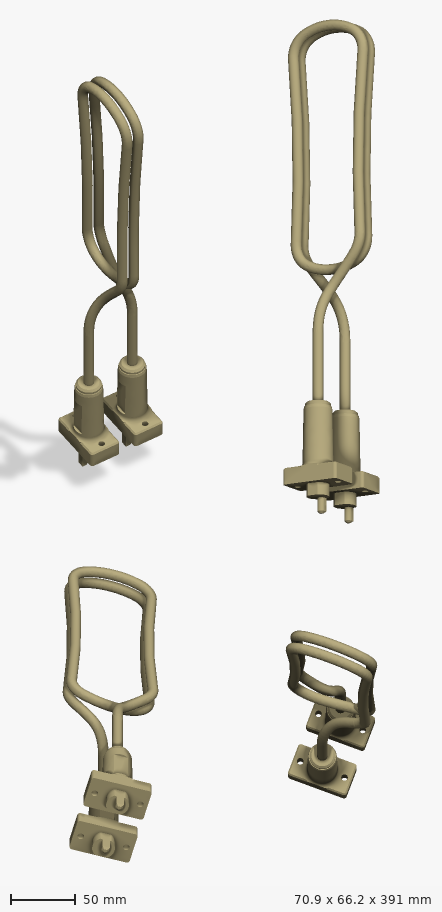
import cadquery as cq
import math

plug_spacing = 40.0
plug_y = plug_spacing / 2

boss_bottom = 12.0
flange_bottom = 22.0
flange_top = 35.2
barrel_top = 81.0
plug_top = 87.0

pin_width = 6.0
pin_tip_chamfer = 1.5
boss_diameter = 17.5
boss_flat_width = 15.3

flange_length = 48.0
flange_width = 26.2
flange_corner_radius = 2.5
flange_edge_chamfer = 1.0
screw_hole_diameter = 5.0
screw_hole_spacing = 36.5

barrel_base_diameter = 24.0
barrel_top_diameter = 22.3
collar_diameter = 20.0
barrel_foot_fillet = 3.0
collar_edge_chamfer = 1.5
lip_diameter = 21.0
lip_height = 2.5
barrel_base_radius = barrel_base_diameter / 2
barrel_top_radius = barrel_top_diameter / 2
collar_radius = collar_diameter / 2
lip_radius = lip_diameter / 2

label_width = 11.5
label_bottom = 40.5
label_top = 70.8
label_face_offset = 9.8

cable_diameter = 8.2
cable_bend_start = 140.8
exit_shoulder_x = 24.5
exit_shoulder_y = 9.5
exit_shoulder_z = 201.5
exit_lean = math.radians(38)
exit_point_x = 8.2
exit_point_y = 11.0
exit_point_z = 180.0

leg_bottom = 219.8
leg_top = 362.5
leg_end_x = 31.3
leg_waist_x = 28.5
overall_height = 391
arch_height = overall_height - cable_diameter / 2 - leg_top
shoulder_x = 20.7
shoulder_height = 19.5
shoulder_slope = math.radians(27)

turn_y = 5.0
outer_leg_foot_y = 9.5
inner_leg_foot_y = 1.0


def make_flange():
    """Rounded rectangular flange with a chamfered top edge."""
    return (
        cq.Workplane("XY", origin=(0, 0, flange_bottom))
        .rect(flange_length, flange_width)
        .extrude(flange_top - flange_bottom)
        .edges("|Z").fillet(flange_corner_radius)
        .faces(">Z").edges().chamfer(flange_edge_chamfer)
    )


def make_barrel():
    """Tapered barrel with a lip and chamfered collar on top; its flared foot ends at the flange sides."""
    foot_radius = barrel_base_radius + barrel_foot_fillet
    foot_top = flange_top + barrel_foot_fillet
    arc_inset = barrel_foot_fillet * (1 - math.sqrt(0.5))
    lip_top = barrel_top + lip_height
    barrel = (
        cq.Workplane("XZ")
        .moveTo(0, flange_bottom)
        .lineTo(foot_radius, flange_bottom)
        .lineTo(foot_radius, flange_top)
        .threePointArc(
            (barrel_base_radius + arc_inset, flange_top + arc_inset),
            (barrel_base_radius, foot_top),
        )
        .lineTo(barrel_top_radius, barrel_top)
        .lineTo(lip_radius, lip_top)
        .lineTo(collar_radius, lip_top)
        .lineTo(collar_radius, plug_top - collar_edge_chamfer)
        .lineTo(collar_radius - collar_edge_chamfer, plug_top)
        .lineTo(0, plug_top)
        .close()
        .revolve(360, (0, 0), (0, 1))
    )
    envelope = (
        cq.Workplane("XY", origin=(0, 0, flange_bottom))
        .rect(flange_length, flange_width)
        .extrude(plug_top - flange_bottom)
    )
    return barrel.intersect(envelope)


def make_label_pocket():
    """Cutter for the flat label pocket on the -Y side of the barrel."""
    pocket_center_y = -label_face_offset - barrel_base_radius / 2
    return (
        cq.Workplane("XY", origin=(0, pocket_center_y, label_bottom))
        .rect(label_width, barrel_base_radius)
        .extrude(label_top - label_bottom)
    )


def make_boss():
    """Round boss under the flange with a flat on each Y side."""
    height = flange_bottom - boss_bottom
    flats = cq.Workplane("XY", origin=(0, 0, boss_bottom)).rect(boss_diameter, boss_flat_width).extrude(height)
    round_boss = cq.Workplane("XY", origin=(0, 0, boss_bottom)).circle(boss_diameter / 2).extrude(height)
    return round_boss.intersect(flats)


def make_pin():
    """Pin with a round +Y side and a square -Y side that is flush with the flat of the boss."""
    pin_radius = pin_width / 2
    face_y = -boss_flat_width / 2
    return (
        cq.Workplane("XY")
        .moveTo(-pin_radius, face_y)
        .lineTo(pin_radius, face_y)
        .lineTo(pin_radius, face_y + pin_radius)
        .threePointArc((0, face_y + pin_width), (-pin_radius, face_y + pin_radius))
        .close()
        .extrude(boss_bottom)
        .faces("<Z").chamfer(pin_tip_chamfer)
    )


def make_plug(y):
    """One plug, from pin tip to collar, standing at the given Y."""
    screw_holes = (
        cq.Workplane("XY", origin=(0, 0, flange_bottom))
        .pushPoints([(-screw_hole_spacing / 2, 0), (screw_hole_spacing / 2, 0)])
        .circle(screw_hole_diameter / 2)
        .extrude(flange_top - flange_bottom)
    )
    plug = make_flange().union(make_barrel()).cut(make_label_pocket())
    plug = plug.union(make_boss()).union(make_pin()).cut(screw_holes)
    return plug.translate((0, y, 0))


def smooth_edge(points, start_direction, end_direction):
    """Spline through the points, tangent to the given directions at its ends."""
    return cq.Edge.makeSpline(
        [cq.Vector(*point) for point in points],
        tangents=[cq.Vector(*start_direction), cq.Vector(*end_direction)],
    )


def bowed_leg(start, waist, end):
    """Circular arc that bows a long leg of the loop inwards."""
    return cq.Edge.makeThreePointArc(cq.Vector(*start), cq.Vector(*waist), cq.Vector(*end))


def end_directions(edge):
    return edge.tangentAt(0).toTuple(), edge.tangentAt(1).toTuple()


def first_turn():
    """Centre line edges from the -Y plug, up round the loop and down to the left end of the lower arc."""
    up = (0, 0, 1)
    slope_x = math.cos(shoulder_slope)
    slope_z = math.sin(shoulder_slope)
    leg_middle = (leg_bottom + leg_top) / 2
    crown = leg_top + arch_height
    upper_shoulder = leg_top + shoulder_height
    lower_shoulder = leg_bottom - shoulder_height

    plug_end = (0, -plug_y, plug_top)
    bend_start = (0, -plug_y, cable_bend_start)
    exit_point = (exit_point_x, -exit_point_y, exit_point_z)
    exit_shoulder = (exit_shoulder_x, -exit_shoulder_y, exit_shoulder_z)
    right_foot = (leg_end_x, -outer_leg_foot_y, leg_bottom)
    right_waist = (leg_waist_x, -(outer_leg_foot_y + turn_y) / 2, leg_middle)
    right_head = (leg_end_x, -turn_y, leg_top)
    right_shoulder = (shoulder_x, -turn_y, upper_shoulder)
    top_middle = (0, -turn_y, crown)
    left_shoulder = (-shoulder_x, -turn_y, upper_shoulder)
    left_head = (-leg_end_x, -turn_y, leg_top)
    left_waist = (-leg_waist_x, -(inner_leg_foot_y + turn_y) / 2, leg_middle)
    left_foot = (-leg_end_x, -inner_leg_foot_y, leg_bottom)
    left_lower_shoulder = (-shoulder_x, -inner_leg_foot_y, lower_shoulder)

    rising_left = (-slope_x, 0, slope_z)
    falling_left = (-slope_x, 0, -slope_z)
    exit_direction = (math.sin(exit_lean), 0, math.cos(exit_lean))
    falling_right = (slope_x, 0, -slope_z)
    right_leg = bowed_leg(right_foot, right_waist, right_head)
    left_leg = bowed_leg(left_head, left_waist, left_foot)
    right_leg_start, right_leg_end = end_directions(right_leg)
    left_leg_start, left_leg_end = end_directions(left_leg)
    return [
        cq.Edge.makeLine(cq.Vector(*plug_end), cq.Vector(*bend_start)),
        smooth_edge([bend_start, exit_point, exit_shoulder], up, exit_direction),
        smooth_edge([exit_shoulder, right_foot], exit_direction, right_leg_start),
        right_leg,
        smooth_edge([right_head, right_shoulder], right_leg_end, rising_left),
        smooth_edge([right_shoulder, top_middle, left_shoulder], rising_left, falling_left),
        smooth_edge([left_shoulder, left_head], falling_left, left_leg_start),
        left_leg,
        smooth_edge([left_foot, left_lower_shoulder], left_leg_end, falling_right),
    ]


def half_turn_about_z(edge):
    return edge.rotate(cq.Vector(0, 0, 0), cq.Vector(0, 0, 1), 180)


def make_cable():
    """One cable: two turns that are half-turn copies about the Z axis, joined by the lower arc."""
    leading_turn = first_turn()
    trailing_turn = [half_turn_about_z(edge) for edge in reversed(leading_turn)]
    arc_start = leading_turn[-1].endPoint()
    arc_end = cq.Vector(-arc_start.x, -arc_start.y, arc_start.z)
    arc_middle = (0, 0, leg_bottom - arch_height)
    start_direction = leading_turn[-1].tangentAt(1)
    end_direction = (start_direction.x, start_direction.y, -start_direction.z)
    lower_arc = smooth_edge(
        [arc_start.toTuple(), arc_middle, arc_end.toTuple()], start_direction.toTuple(), end_direction
    )
    path = cq.Wire.assembleEdges([*leading_turn, lower_arc, *trailing_turn])
    return (
        cq.Workplane("XY", origin=(0, -plug_y, plug_top))
        .circle(cable_diameter / 2)
        .sweep(cq.Workplane(path))
    )


cable = make_cable()
plugs = [make_plug(y) for y in (-plug_y, plug_y)]

result = cq.Compound.makeCompound([cable.val(), *[plug.val() for plug in plugs]])